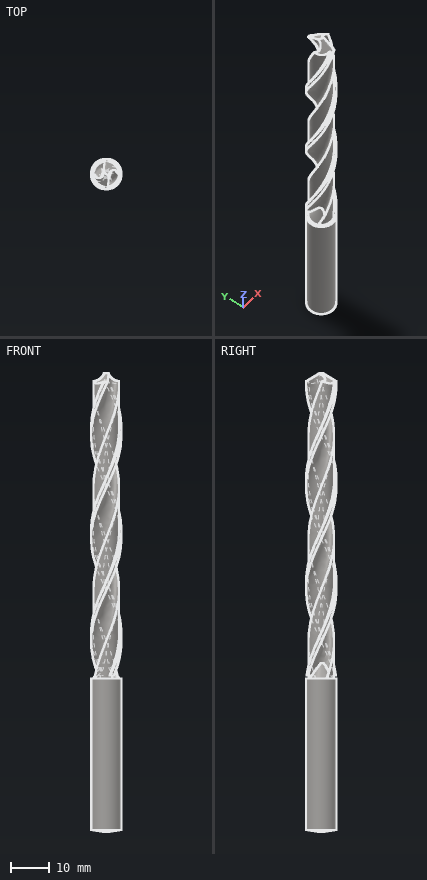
import math

import cadquery as cq

drill_diameter = 8.0
overall_length = 120.32
shank_length = 39.7
end_cone_height = 0.6
point_angle = 120.0
helix_angle = 25.0

body_radius = 3.4
margin_angle = 16.0
margin_start = 0.7
lead_angle = 96.0
land_angle = 92.0
lip_offset = 0.4
primary_width = 0.5
primary_clearance = 15.0
secondary_clearance = 30.0
runout_height = 4.0
runout_top_radius = 0.8

flute_floor = [(1.6, 0.8), (0.7, -0.2), (0.25, -1.8)]

drill_radius = drill_diameter / 2
shank_top = end_cone_height + shank_length
lead = math.pi * drill_diameter / math.tan(math.radians(helix_angle))
lip_slope = math.tan(math.radians(90.0 - point_angle / 2))
primary_slope = math.tan(math.radians(primary_clearance))
secondary_slope = math.tan(math.radians(secondary_clearance))
lip_plane_top = overall_length + lip_offset * primary_slope
corner_height = lip_plane_top - drill_radius * lip_slope


def polar(radius, angle):
    """Point in the XY plane at an angle in degrees."""
    return radius * math.cos(math.radians(angle)), radius * math.sin(math.radians(angle))


def unturned(point):
    """Point left where it is."""
    return point


def opposite(point):
    """Point turned half a turn about the axis."""
    return -point[0], -point[1]


def fluted_section():
    """Two lands joined by the web, placed as they lie at the outer corners."""
    margin_end = lead_angle - margin_angle
    heel_angle = lead_angle - land_angle
    corner = polar(drill_radius, lead_angle)
    margin_middle = polar(drill_radius, lead_angle - margin_angle / 2)
    margin_back = polar(drill_radius, margin_end)
    body_front = polar(body_radius, margin_end)
    body_middle = polar(body_radius, (margin_end + heel_angle) / 2)
    heel = polar(body_radius, heel_angle)
    flute_points = flute_floor + [opposite(corner)]
    section = cq.Workplane("XY").moveTo(*corner)
    for turn in (unturned, opposite):
        section = section.threePointArc(turn(margin_middle), turn(margin_back))
        section = section.lineTo(*turn(body_front))
        section = section.threePointArc(turn(body_middle), turn(heel))
        section = section.spline([turn(point) for point in flute_points], includeCurrent=True)
    return section.close()


def twisted(section, bottom, top):
    """Section twisted along the right-hand helix between two heights."""
    turn = 360.0 * (top - bottom) / lead
    start = 360.0 * (bottom - corner_height) / lead
    solid = section.twistExtrude(top - bottom, turn)
    return solid.rotate((0, 0, 0), (0, 0, 1), start).translate((0, 0, bottom))


def above_facet(edge_x, edge_z, slope):
    """Block above a flank facet that holds the line x = edge_x, z = edge_z - y * lip_slope."""
    facet = cq.Plane(origin=(edge_x, 0, edge_z), xDir=(1, 0, -slope), normal=(slope, lip_slope, 1))
    block_size = 4 * drill_diameter
    return cq.Workplane(facet).rect(block_size, block_size).extrude(drill_diameter)


def grind_point(drill):
    """Grind a primary and a secondary flank facet behind each of the two lips."""
    second_edge_x = primary_width - lip_offset
    second_edge_z = lip_plane_top - primary_width * primary_slope
    facets = [
        above_facet(-lip_offset, lip_plane_top, primary_slope),
        above_facet(second_edge_x, second_edge_z, secondary_slope),
    ]
    for block in facets:
        drill = drill.cut(block)
        drill = drill.cut(block.rotate((0, 0, 0), (0, 0, 1), 180))
    return drill


def turned(profile):
    """Solid of revolution about Z from (radius, height) points."""
    return cq.Workplane("XZ").polyline(profile).close().revolve(360, (0, 0, 0), (0, 1, 0))


def shank():
    """Plain cylindrical shank whose end is a shallow cone."""
    return turned([
        (0, 0),
        (drill_radius, end_cone_height),
        (drill_radius, shank_top),
        (0, shank_top),
    ])


def flute_runout():
    """Cone on top of the shank where the flutes end."""
    runout_top = shank_top + runout_height
    return turned([
        (0, shank_top),
        (body_radius, shank_top),
        (runout_top_radius, runout_top),
        (0, runout_top),
    ])


def margin_relief():
    """Ring that removes the margins just above the shank."""
    base = cq.Workplane("XY").workplane(offset=shank_top)
    return base.circle(drill_diameter).circle(body_radius).extrude(margin_start)


fluted_body = twisted(fluted_section(), shank_top, overall_length)
fluted_body = grind_point(fluted_body).cut(margin_relief())
result = fluted_body.union(flute_runout()).union(shank())